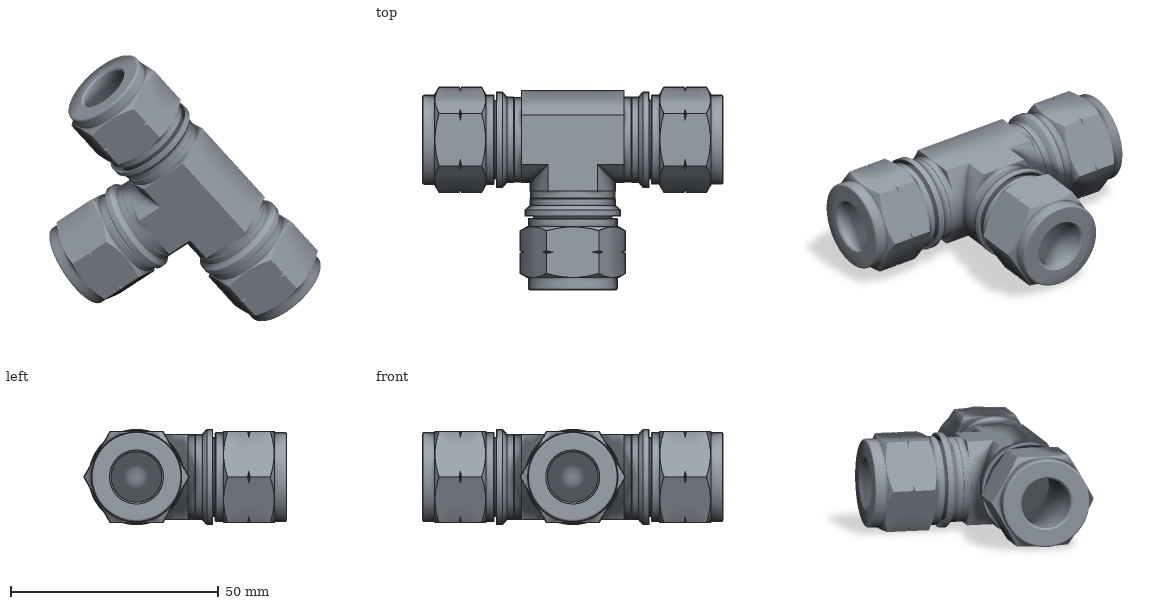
import cadquery as cq
import math

reach = 36.245

hex_half_angle = math.radians(30)

run_angles = (0, 180)
branch_angle = -90

body_flats = 20.6
body_half_length = 12.4

hub_diameter = 20.5
hub_end = 14.3
hub_groove_diameter = 20.0
hub_groove_width = 0.2
collar_diameter = 20.6
collar_end = 15.88
flange_diameter = 23.0
flange_cone_end = 16.97
flange_end = 18.36
flange_rim = 0.25
neck_diameter = 19.05

nut_round_diameter = 21.5
nut_inner_end = 18.95
nut_inner_chamfer = 0.2
nut_outer_rounding = 0.5
hex_flats = 22.0
hex_face_diameter = 21.8
hex_start = 20.95
hex_end = 33.3
hex_chamfer_angle = 30.0
mark_depth = 0.7
mark_half_width = 0.3

bore_diameter = 12.2
bore_depth = 22.8
bore_chamfer = 0.4


def corner_diameter(flats):
    """Across-corners size of a hexagon with the given across-flats size."""
    return flats / math.cos(hex_half_angle)


def revolve_profile(points):
    """Solid of revolution about X from (station, radius) points."""
    return cq.Workplane("XY").polyline(points).close().revolve(360, (0, 0, 0), (1, 0, 0))


def hex_bar(flats, start, end):
    """Hexagonal bar along X with flats facing +Z and -Z."""
    bar = cq.Workplane("YZ").polygon(6, corner_diameter(flats)).extrude(end - start)
    return bar.translate((start, 0, 0))


def round_bar(diameter, start, end):
    """Cylinder along X."""
    return cq.Workplane("YZ").workplane(offset=start).circle(diameter / 2).extrude(end - start)


def rounded_side(sign):
    """Half of the body section on one side of Y, with the hex corner rounded off."""
    half_flats = body_flats / 2
    tangent_y = sign * half_flats * math.cos(hex_half_angle)
    tangent_z = half_flats * math.sin(hex_half_angle)
    flat_edge = sign * half_flats * math.tan(hex_half_angle)
    return (
        cq.Workplane("YZ")
        .moveTo(0, -half_flats)
        .lineTo(flat_edge, -half_flats)
        .lineTo(tangent_y, -tangent_z)
        .threePointArc((sign * half_flats, 0), (tangent_y, tangent_z))
        .lineTo(flat_edge, half_flats)
        .lineTo(0, half_flats)
        .close()
    )


def make_body():
    """Run bar with a sharp back edge, joined to a branch bar rounded on both sides."""
    half_box = cq.Workplane("XY").box(
        2 * body_half_length, body_flats, body_flats, centered=(True, False, True)
    )
    back = hex_bar(body_flats, -body_half_length, body_half_length).intersect(half_box)
    front = rounded_side(-1).extrude(body_half_length, both=True)
    branch = rounded_side(1).extrude(body_half_length)
    branch = branch.union(rounded_side(-1).extrude(body_half_length))
    return back.union(front).union(branch.rotate((0, 0, 0), (0, 0, 1), branch_angle))


def make_stub():
    """Hub, collar, conical flange and neck from the tee body to the nut."""
    hub = hub_diameter / 2
    groove = hub_groove_diameter / 2
    collar = collar_diameter / 2
    flange = flange_diameter / 2
    recess = flange - flange_rim
    neck = neck_diameter / 2
    groove_start = hub_end - hub_groove_width
    return revolve_profile([
        (body_half_length, 0),
        (body_half_length, hub),
        (groove_start, hub),
        (groove_start, groove),
        (hub_end, groove),
        (hub_end, collar),
        (collar_end, collar),
        (flange_cone_end, flange),
        (flange_end, flange),
        (flange_end, recess),
        (flange_end - (recess - neck), neck),
        (nut_inner_end, neck),
        (nut_inner_end, 0),
    ])


def make_nut():
    """Round nut with a chamfered, corner-marked hexagon around its middle."""
    barrel = round_bar(nut_round_diameter, nut_inner_end, reach)
    barrel = barrel.faces(">X").edges().fillet(nut_outer_rounding)
    barrel = barrel.faces("<X").chamfer(nut_inner_chamfer)

    corner = corner_diameter(hex_flats) / 2
    face_radius = hex_face_diameter / 2
    slope = (corner - face_radius) * math.tan(math.radians(hex_chamfer_angle))
    middle = (hex_start + hex_end) / 2
    envelope = revolve_profile([
        (hex_start, 0),
        (hex_start, face_radius),
        (hex_start + slope, corner),
        (middle - mark_half_width, corner),
        (middle, corner - mark_depth),
        (middle + mark_half_width, corner),
        (hex_end - slope, corner),
        (hex_end, face_radius),
        (hex_end, 0),
    ])
    return barrel.union(hex_bar(hex_flats, hex_start, hex_end).intersect(envelope))


def make_socket():
    """Cutter for the blind tube bore with its entry chamfer."""
    bore = bore_diameter / 2
    return revolve_profile([
        (reach - bore_depth, 0),
        (reach - bore_depth, bore),
        (reach - bore_chamfer, bore),
        (reach, bore + bore_chamfer),
        (reach, 0),
    ])


result = make_body()
end_fitting = make_stub().union(make_nut())
socket = make_socket()
for angle in (*run_angles, branch_angle):
    result = result.union(end_fitting.rotate((0, 0, 0), (0, 0, 1), angle))
    result = result.cut(socket.rotate((0, 0, 0), (0, 0, 1), angle))